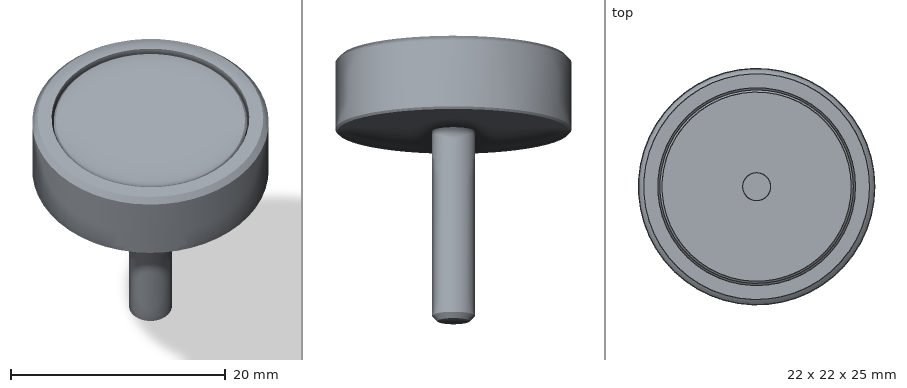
import cadquery as cq

total_height = 25.0
head_height = 7.0
head_radius = 11.0
head_top_chamfer = 0.5
head_bottom_chamfer = 0.2

stud_radius = 2.0
stud_tip_chamfer = 0.5

pocket_radius = 9.2
pocket_floor_thickness = 2.0
post_radius = 1.3

insert_gap = 0.2
insert_radius = pocket_radius - insert_gap
insert_chamfer = 0.2
insert_setback = 0.3

head_bottom = total_height - head_height
pocket_floor = head_bottom + pocket_floor_thickness
pocket_depth = total_height - pocket_floor
insert_height = pocket_depth - insert_setback


def cylinder(radius, bottom, height):
    """Upright cylinder on the Z axis."""
    return cq.Workplane("XY").workplane(offset=bottom).circle(radius).extrude(height)


def make_housing():
    """Cup-shaped head with a stud below and a post that ends flush with the insert."""
    head = cylinder(head_radius, head_bottom, head_height)
    head = head.faces(">Z").chamfer(head_top_chamfer)
    head = head.faces("<Z").chamfer(head_bottom_chamfer)
    head = head.cut(cylinder(pocket_radius, pocket_floor, pocket_depth))
    post = cylinder(post_radius, pocket_floor, insert_height)
    stud = cylinder(stud_radius, 0, head_bottom).faces("<Z").chamfer(stud_tip_chamfer)
    return head.union(post).union(stud)


def make_insert():
    """Disc with a chamfered top rim and a through hole for the post."""
    disc = cylinder(insert_radius, pocket_floor, insert_height)
    disc = disc.faces(">Z").chamfer(insert_chamfer)
    return disc.cut(cylinder(post_radius, pocket_floor, insert_height))


housing = make_housing()
insert = make_insert()
result = cq.Compound.makeCompound([housing.val(), insert.val()])